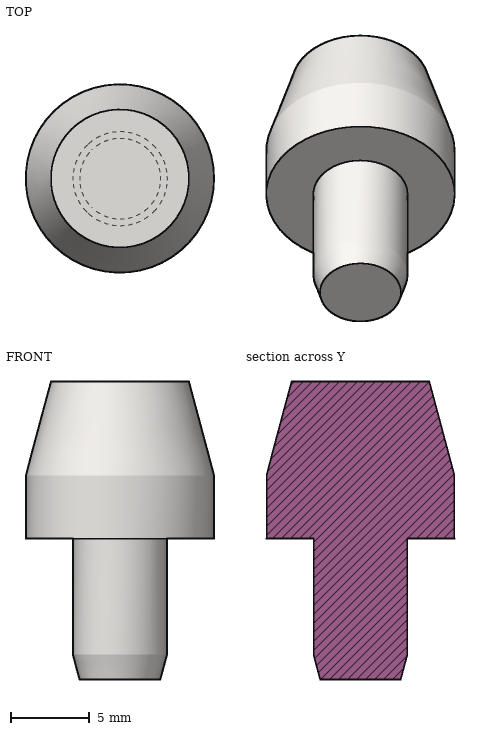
import cadquery as cq
import math

total_height = 19.0
head_diameter = 12.0
head_cylinder_height = 4.0
head_taper_height = 6.0
shank_diameter = head_diameter / 2
tip_height = 1.6
taper_angle = 15.0

taper_slope = math.tan(math.radians(taper_angle))
head_radius = head_diameter / 2
head_top_radius = head_radius - head_taper_height * taper_slope
shank_radius = shank_diameter / 2
tip_radius = shank_radius - tip_height * taper_slope

taper_start = total_height - head_taper_height
shoulder = taper_start - head_cylinder_height

half_section = (
    cq.Workplane("XZ")
    .polyline([
        (0, 0),
        (tip_radius, 0),
        (shank_radius, tip_height),
        (shank_radius, shoulder),
        (head_radius, shoulder),
        (head_radius, taper_start),
        (head_top_radius, total_height),
        (0, total_height),
    ])
    .close()
)

result = half_section.revolve(360, (0, 0), (0, 1))